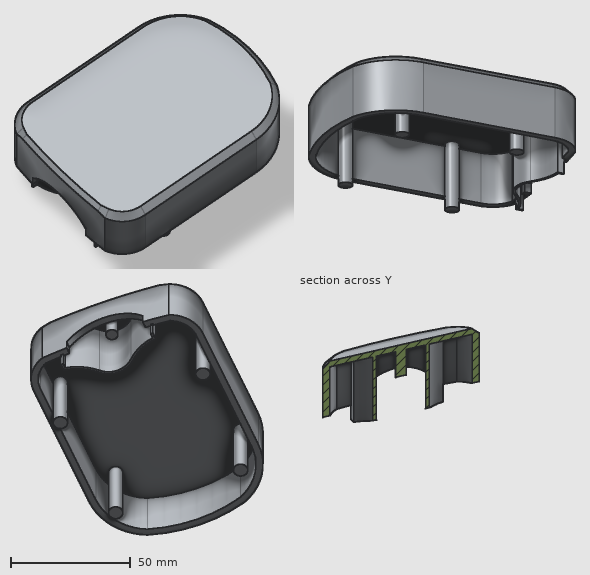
import cadquery as cq
import math

WIDTH = 76.5
LENGTH = 104.43
BODY_HEIGHT = 26.0
WALL = 3.0
CHAMFER = 3.0
CHAMFER_ANGLE = 45
HALF_WIDTH = WIDTH / 2

REAR_RADIUS = 27.25
REAR_START_Y = 76.0
CROWN_HALF = 22.1

FRONT_RADIUS = 15.0
FRONT_START_Y = 15.4
FRONT_HALF = 28.7

FRONT_TRIM = 1.0
NOSE_HALF = 24.7

ARCH_HALF = 17.2
ARCH_SPRING = 4.4
ARCH_TOP = 12.2
ARCH_DEPTH = 2 * WALL

DROP = 7.0

BAFFLE_THICKNESS = 1.0
BAFFLE_HALF = 20.8
BAFFLE_FRONT_Y = 3.0
BELL_RADIUS = 10.0
BELL_CENTRE_Y = 4.75
BELL_ANGLE = math.radians(45)
FLANK_RADIUS = 24.0

POST_DIAMETER = 6.0
FRONT_POST_X = HALF_WIDTH - WALL - POST_DIAMETER / 2
FRONT_POST_Y = 30.1
REAR_POST_X = 28.25
REAR_POST_Y = 81.0
BOSS_DIAMETER = 5.0
BOSS_Y = 8.5
BOSS_BOTTOM = 11.0

CEILING = BODY_HEIGHT - WALL
ROOT = CEILING + WALL / 2


def mirrored(point):
    """The same point on the opposite side of the YZ plane."""
    return (-point[0], point[1])


def outline_without_front():
    """Trace the outline from the left front corner, around the rear, to the right front corner."""
    front_centre_x = HALF_WIDTH - FRONT_RADIUS
    rear_centre_x = HALF_WIDTH - REAR_RADIUS
    corner_y = front_corner_y()
    crown_y = REAR_START_Y + math.sqrt(REAR_RADIUS**2 - (CROWN_HALF - rear_centre_x) ** 2)
    front_middle = arc_middle(
        front_centre_x, FRONT_START_Y, (HALF_WIDTH, FRONT_START_Y), (FRONT_HALF, corner_y)
    )
    rear_middle = arc_middle(
        rear_centre_x, REAR_START_Y, (HALF_WIDTH, REAR_START_Y), (CROWN_HALF, crown_y)
    )
    return (
        cq.Workplane("XY")
        .moveTo(-FRONT_HALF, corner_y)
        .threePointArc(mirrored(front_middle), (-HALF_WIDTH, FRONT_START_Y))
        .lineTo(-HALF_WIDTH, REAR_START_Y)
        .threePointArc(mirrored(rear_middle), (-CROWN_HALF, crown_y))
        .threePointArc((0, LENGTH), (CROWN_HALF, crown_y))
        .threePointArc(rear_middle, (HALF_WIDTH, REAR_START_Y))
        .lineTo(HALF_WIDTH, FRONT_START_Y)
        .threePointArc(front_middle, (FRONT_HALF, corner_y))
    )


def front_corner_y():
    """Y where the front corner arc meets the front bulge."""
    across = FRONT_HALF - (HALF_WIDTH - FRONT_RADIUS)
    return FRONT_START_Y - math.sqrt(FRONT_RADIUS**2 - across**2)


def arc_middle(centre_x, centre_y, start, end):
    """Midpoint of the shorter arc from start to end about the given centre."""
    radius = math.hypot(start[0] - centre_x, start[1] - centre_y)
    toward_x = (start[0] + end[0]) / 2 - centre_x
    toward_y = (start[1] + end[1]) / 2 - centre_y
    scale = radius / math.hypot(toward_x, toward_y)
    return (centre_x + toward_x * scale, centre_y + toward_y * scale)


def finished_outline():
    """The full outline, closed by the shallow bulge of the front face."""
    return outline_without_front().threePointArc((0, 0), (-FRONT_HALF, front_corner_y())).close()


def make_shell():
    """Chamfered blank, trimmed to the front bulge and hollowed from below."""
    nose_y = front_corner_y() * (NOSE_HALF / FRONT_HALF) ** 2 - FRONT_TRIM
    outline = (
        outline_without_front()
        .lineTo(NOSE_HALF, nose_y)
        .threePointArc((0, -FRONT_TRIM), (-NOSE_HALF, nose_y))
        .close()
    )
    bevel_base = outline.val().moved(cq.Location(cq.Vector(0, 0, BODY_HEIGHT - CHAMFER)))
    bevel = cq.Workplane("XY").add(bevel_base).toPending().extrude(CHAMFER, taper=CHAMFER_ANGLE)
    blank = outline.extrude(BODY_HEIGHT - CHAMFER).union(bevel)
    body = blank.intersect(finished_outline().extrude(BODY_HEIGHT))
    cavity = finished_outline().offset2D(-WALL).extrude(CEILING)
    return body.cut(cavity)


def make_arch():
    """Cutter for the opening: upright sides below a circular arch."""
    return (
        cq.Workplane("XZ")
        .moveTo(-ARCH_HALF, 0)
        .lineTo(-ARCH_HALF, ARCH_SPRING)
        .threePointArc((0, ARCH_TOP), (ARCH_HALF, ARCH_SPRING))
        .lineTo(ARCH_HALF, 0)
        .close()
        .extrude(-ARCH_DEPTH)
    )


def baffle_half_points(offset):
    """Points of one baffle face, on the +X side, for a face set back by offset from the front one."""
    direction = (math.sin(BELL_ANGLE), math.cos(BELL_ANGLE))
    bell = BELL_RADIUS + offset
    flank = FLANK_RADIUS - offset
    span = BELL_RADIUS + FLANK_RADIUS
    flank_centre = (span * direction[0], BELL_CENTRE_Y + span * direction[1])
    joint = (bell * direction[0], BELL_CENTRE_Y + bell * direction[1])
    leg_x = BAFFLE_HALF - BAFFLE_THICKNESS + offset
    shoulder = (leg_x, flank_centre[1] - math.sqrt(flank**2 - (flank_centre[0] - leg_x) ** 2))
    flank_middle = arc_middle(*flank_centre, joint, shoulder)
    apex = (0, BELL_CENTRE_Y + bell)
    return apex, joint, flank_middle, shoulder, (leg_x, BAFFLE_FRONT_Y)


def make_baffle():
    """Bell-shaped curtain of even thickness ending in two short straight legs."""
    apex, joint, flank_middle, shoulder, toe = baffle_half_points(BAFFLE_THICKNESS)
    in_apex, in_joint, in_flank_middle, in_shoulder, in_toe = baffle_half_points(0)
    return (
        cq.Workplane("XY", origin=(0, 0, -DROP))
        .moveTo(*mirrored(toe))
        .lineTo(*mirrored(shoulder))
        .threePointArc(mirrored(flank_middle), mirrored(joint))
        .threePointArc(apex, joint)
        .threePointArc(flank_middle, shoulder)
        .lineTo(*toe)
        .lineTo(*in_toe)
        .lineTo(*in_shoulder)
        .threePointArc(in_flank_middle, in_joint)
        .threePointArc(in_apex, mirrored(in_joint))
        .threePointArc(mirrored(in_flank_middle), mirrored(in_shoulder))
        .lineTo(*mirrored(in_toe))
        .close()
        .extrude(DROP + ROOT)
    )


def make_pins(centres, diameter, bottom):
    """Round pins hanging from the ceiling down to the given height."""
    return (
        cq.Workplane("XY", origin=(0, 0, bottom))
        .pushPoints(centres)
        .circle(diameter / 2)
        .extrude(ROOT - bottom)
    )


post_centres = [
    (side * x, y)
    for side in (-1, 1)
    for x, y in ((FRONT_POST_X, FRONT_POST_Y), (REAR_POST_X, REAR_POST_Y))
]

result = (
    make_shell()
    .cut(make_arch())
    .union(make_baffle())
    .union(make_pins(post_centres, POST_DIAMETER, -DROP))
    .union(make_pins([(0, BOSS_Y)], BOSS_DIAMETER, BOSS_BOTTOM))
)